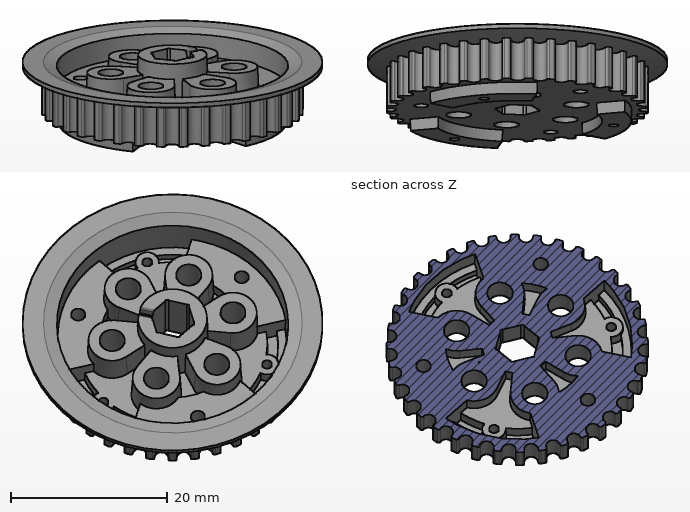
import cadquery as cq
import math

foot_height = 1.5
total_height = 9.0
flange_top = 8.05
flange_thickness = 0.6
boss_top = 7.0
pad_top = 4.65
floor_top = 3.0
ledge_top = 2.55
slot_floor = 8.0

draft = 2.5
draft_slope = math.tan(math.radians(draft))

tooth_count = 36
tip_radius = 16.74
groove_depth = 1.22
groove_radius = 0.88
tooth_edge_fillet = 0.27

flange_radius = 19.19
flange_cone_angle = 15.0
flange_root_radius = 15.2

cup_mouth_radius = 16.53
cup_wall_top_radius = 14.8
cup_wall_top = 7.55

hub_top_radius = 4.4
hex_sides = 6
hex_across_flats = 5.0
hex_relief_radius = 0.25
hex_relief_circle_radius = 2.64
slot_length = 5.4
slot_top_width = 1.27
slot_floor_width = 0.6
slot_edge_radius = 0.2

boss_count = 6
boss_circle_radius = 8.0
boss_radius = 3.03
boss_hole_diameter = 3.2
boss_flank_angle = 21.0
boss_inner_end = 3.5

foot_directions = (30, 150, 270)
pad_directions = (90, 210, 330)
sector_half_angle = 30.0
foot_inner_radius = 10.77
foot_outer_radius = 14.62
pad_overhang = 1.4
pad_inner_radius = 9.2
trough_inner_radius = 12.1
trough_outer_radius = 13.5

screw_circle_radius = 12.5
pad_hole_diameter = 1.8
post_hole_diameter = 1.25
post_radius = 1.5


def polar(radius, degrees):
    """Point in plan at a radius and direction from the axis."""
    angle = math.radians(degrees)
    return (radius * math.cos(angle), radius * math.sin(angle))


def cup_wall_radius(z):
    """Radius of the drafted cup wall at height z."""
    return cup_wall_top_radius - (cup_wall_top - z) * draft_slope


def cylinder(center, radius, bottom, top):
    """Upright cylinder between two heights."""
    return cq.Workplane("XY", origin=(*center, bottom)).circle(radius).extrude(top - bottom)


def drafted_sector(inner, outer, side_offset, top, bottom, taper):
    """Ring sector about +X, sized at its top face and narrowing downward for a positive taper.

    Its sides are the radial lines at the sector half angle, moved outward by side_offset.
    """
    half_angle = math.radians(sector_half_angle)
    inset = (top - bottom) * math.tan(math.radians(taper))
    ring = (
        cq.Workplane("XZ")
        .moveTo(inner, top)
        .lineTo(outer, top)
        .lineTo(outer - inset, bottom)
        .lineTo(inner + inset, bottom)
        .close()
        .revolve(360, (0, 0, 0), (0, 1, 0))
    )
    apex = -side_offset / math.sin(half_angle)
    half_width = (flange_radius - apex) * math.tan(half_angle)
    wedge = (
        cq.Workplane("XY", origin=(0, 0, top))
        .polyline([(apex, 0), (flange_radius, -half_width), (flange_radius, half_width)])
        .close()
        .extrude(bottom - top, taper=taper)
    )
    return ring.intersect(wedge)


def turned(shape, degrees):
    """Shape rotated about the pulley axis."""
    return shape.rotate((0, 0, 0), (0, 0, 1), degrees)


def make_toothed_rim():
    """Gear blank with round-bottomed belt grooves and rounded tooth edges."""
    height = flange_top - flange_thickness - foot_height
    groove_center = tip_radius - groove_depth + groove_radius
    opening_length = 2 * groove_radius
    groove = cylinder((groove_center, 0), groove_radius, foot_height, foot_height + height)
    opening = (
        cq.Workplane("XY", origin=(groove_center + opening_length / 2, 0, foot_height))
        .rect(opening_length, 2 * groove_radius)
        .extrude(height)
    )
    groove = groove.union(opening)
    rim = cylinder((0, 0), tip_radius, foot_height, foot_height + height)
    pitch = 360 / tooth_count
    for i in range(tooth_count):
        rim = rim.cut(turned(groove, i * pitch))
    edge_reach = tip_radius - tooth_edge_fillet
    tooth_edges = [
        edge for edge in rim.edges("|Z").vals()
        if math.hypot(edge.Center().x, edge.Center().y) > edge_reach
    ]
    return rim.newObject(tooth_edges).fillet(tooth_edge_fillet)


def make_flange():
    """Belt flange: thin disc with a conical underside."""
    edge_bottom = flange_top - flange_thickness
    cone_drop = (flange_radius - flange_root_radius) * math.tan(math.radians(flange_cone_angle))
    return (
        cq.Workplane("XZ")
        .moveTo(0, flange_top)
        .lineTo(flange_radius, flange_top)
        .lineTo(flange_radius, edge_bottom)
        .lineTo(flange_root_radius, edge_bottom - cone_drop)
        .lineTo(0, edge_bottom - cone_drop)
        .close()
        .revolve(360, (0, 0, 0), (0, 1, 0))
    )


def make_cup():
    """Cavity with a conical mouth, a drafted wall, an outer ledge and a trough opening down to the feet."""
    trough_floor_radius = trough_inner_radius + (floor_top - foot_height) * draft_slope
    return (
        cq.Workplane("XZ")
        .moveTo(0, flange_top)
        .lineTo(cup_mouth_radius, flange_top)
        .lineTo(cup_wall_top_radius, cup_wall_top)
        .lineTo(cup_wall_radius(ledge_top), ledge_top)
        .lineTo(trough_outer_radius, ledge_top)
        .lineTo(trough_outer_radius, foot_height)
        .lineTo(trough_floor_radius, foot_height)
        .lineTo(trough_inner_radius, floor_top)
        .lineTo(0, floor_top)
        .close()
        .revolve(360, (0, 0, 0), (0, 1, 0))
    )


def make_foot():
    """Drafted foot that narrows towards its underside."""
    return drafted_sector(foot_inner_radius, foot_outer_radius, 0, foot_height, 0, draft)


def make_pad():
    """Raised pad that runs into the cup wall and widens downward with the draft."""
    outer = cup_wall_radius(pad_top)
    return drafted_sector(pad_inner_radius, outer, pad_overhang, pad_top, foot_height, -draft)


def make_post():
    """Screw post standing in the trough on the +X axis."""
    post = cq.Workplane("XY", origin=(screw_circle_radius, 0, floor_top)).circle(post_radius)
    return post.extrude(foot_height - floor_top, taper=-draft)


def make_boss():
    """Teardrop boss on the +X axis, narrowing tangentially towards the hub."""
    angle = math.radians(boss_flank_angle)
    tangent_x = boss_circle_radius - boss_radius * math.sin(angle)
    tangent_y = boss_radius * math.cos(angle)
    inner_y = tangent_y - (tangent_x - boss_inner_end) * math.tan(angle)
    return (
        cq.Workplane("XY", origin=(0, 0, boss_top))
        .moveTo(boss_inner_end, -inner_y)
        .lineTo(tangent_x, -tangent_y)
        .threePointArc((boss_circle_radius + boss_radius, 0), (tangent_x, tangent_y))
        .lineTo(boss_inner_end, inner_y)
        .close()
        .extrude(foot_height - boss_top, taper=-draft)
    )


def make_hub():
    """Central hub, widening downward with the draft."""
    hub = cq.Workplane("XY", origin=(0, 0, total_height)).circle(hub_top_radius)
    return hub.extrude(foot_height - total_height, taper=-draft)


def make_hex_bore():
    """Hexagonal bore, two corners on the Y axis, with a small round relief in each corner."""
    hex_across_corners = hex_across_flats / math.cos(math.pi / hex_sides)
    bore = cq.Workplane("XY").polygon(hex_sides, hex_across_corners).extrude(total_height)
    reliefs = (
        cq.Workplane("XY")
        .polarArray(hex_relief_circle_radius, 0, 360, hex_sides)
        .circle(hex_relief_radius)
        .extrude(total_height)
    )
    return turned(bore.union(reliefs), 90)


def make_hub_slot():
    """Shallow slot with rounded top edges from the bore out through the +Y side of the hub."""
    half_top = slot_top_width / 2
    half_floor = slot_floor_width / 2
    half_wall = half_top - slot_edge_radius
    wall_top = total_height - slot_edge_radius
    return (
        cq.Workplane("XZ")
        .moveTo(-half_top, total_height)
        .lineTo(half_top, total_height)
        .radiusArc((half_wall, wall_top), -slot_edge_radius)
        .lineTo(half_floor, slot_floor)
        .lineTo(-half_floor, slot_floor)
        .lineTo(-half_wall, wall_top)
        .radiusArc((-half_top, total_height), -slot_edge_radius)
        .close()
        .extrude(-slot_length)
    )


def build_pulley():
    """Complete pulley half: rim, flange, web, bosses, hub and holes."""
    body = make_toothed_rim().union(make_flange()).cut(make_cup())
    for direction in foot_directions:
        body = body.union(turned(make_foot(), direction))
        body = body.union(turned(make_post(), direction))
    for direction in pad_directions:
        body = body.union(turned(make_pad(), direction))

    boss_directions = [i * 360 / boss_count for i in range(boss_count)]
    for direction in boss_directions:
        body = body.union(turned(make_boss(), direction))
    body = body.union(make_hub()).cut(make_hub_slot()).cut(make_hex_bore())

    hole_patterns = (
        (boss_directions, boss_circle_radius, boss_hole_diameter),
        (pad_directions, screw_circle_radius, pad_hole_diameter),
        (foot_directions, screw_circle_radius, post_hole_diameter),
    )
    for directions, circle_radius, diameter in hole_patterns:
        for direction in directions:
            center = polar(circle_radius, direction)
            body = body.cut(cylinder(center, diameter / 2, 0, total_height))
    return body


result = build_pulley()